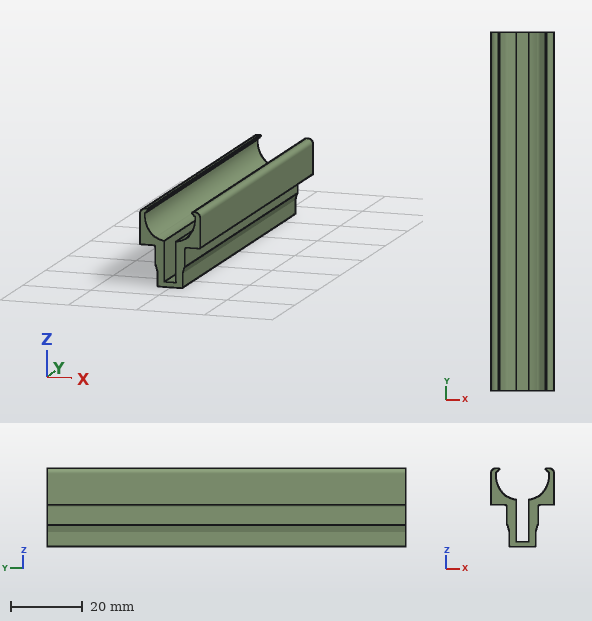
import cadquery as cq
import math

length = 100.0
width = 17.7
height = 22.0

slot_half_width = 1.7
floor_thickness = 1.5
foot_half_width = 3.7
foot_chamfer = 0.2
foot_top_z = 4.2
taper_top_half_width = 4.2
taper_top_z = 6.0
stem_half_width = 4.4
stem_step_z = 6.2

cradle_bottom_z = 11.7
cradle_corner_radius = 0.3
stem_fillet = 0.5
top_round = 1.5
seat_radius = 7.4
seat_center_z = 20.0
seat_end_half_width = 4.7
seat_top_rise = 0.7

shoulder_outer_half_width = 4.4
shoulder_outer_z = 14.1
shoulder_inner_half_width = 4.1
shoulder_inner_z = 14.0
hollow_radius = 6.0
slot_mouth_z = 13.2

lip_half_width = 6.4
lip_tip_chamfer = 0.3

half_width = width / 2


def seat_point(angle):
    """Point on the round seat at an angle above the +X direction."""
    return (seat_radius * math.cos(angle), seat_center_z + seat_radius * math.sin(angle))


def half_profile():
    """Right half of the cross-section, closed along the symmetry plane."""
    lip_angle = math.asin(seat_top_rise / seat_radius)
    seat_end_angle = -math.acos(seat_end_half_width / seat_radius)
    middle_angle = (lip_angle + seat_end_angle) / 2
    return (
        cq.Workplane("XZ", origin=(0, length / 2, 0))
        .moveTo(0, 0)
        .lineTo(foot_half_width - foot_chamfer, 0)
        .lineTo(foot_half_width, foot_chamfer)
        .lineTo(foot_half_width, foot_top_z)
        .lineTo(taper_top_half_width, taper_top_z)
        .lineTo(stem_half_width, stem_step_z)
        .lineTo(stem_half_width, cradle_bottom_z - stem_fillet)
        .radiusArc((stem_half_width + stem_fillet, cradle_bottom_z), stem_fillet)
        .lineTo(half_width - cradle_corner_radius, cradle_bottom_z)
        .radiusArc((half_width, cradle_bottom_z + cradle_corner_radius), -cradle_corner_radius)
        .lineTo(half_width, height - top_round)
        .radiusArc((half_width - top_round, height), -top_round)
        .lineTo(lip_half_width + lip_tip_chamfer, height)
        .lineTo(lip_half_width, height - lip_tip_chamfer)
        .lineTo(*seat_point(lip_angle))
        .threePointArc(seat_point(middle_angle), seat_point(seat_end_angle))
        .lineTo(shoulder_outer_half_width, shoulder_outer_z)
        .lineTo(shoulder_inner_half_width, shoulder_inner_z)
        .radiusArc((slot_half_width, slot_mouth_z), hollow_radius)
        .lineTo(slot_half_width, floor_thickness)
        .lineTo(0, floor_thickness)
        .close()
    )


right_half = half_profile().extrude(length)
result = right_half.union(right_half.mirror("YZ")).clean()